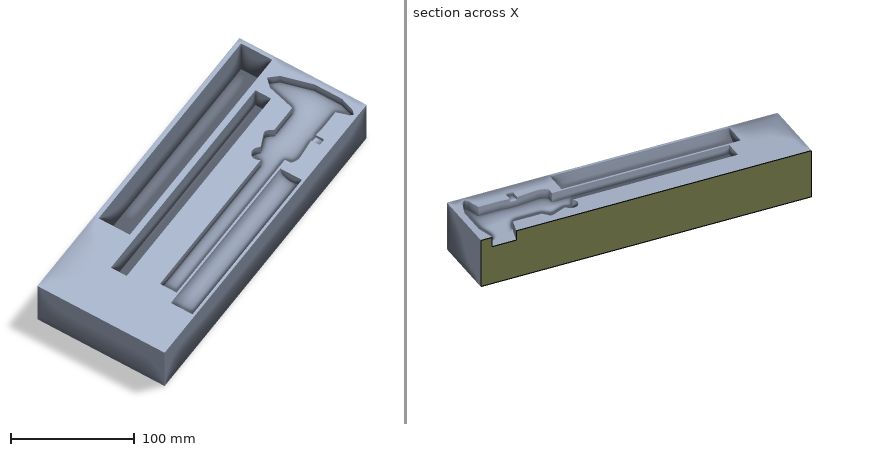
import cadquery as cq

WIDTH = 122.8
LENGTH = 298
HEIGHT = 45.0

WIDE_POCKET_X = 4.2
WIDE_POCKET_Y = 84.0
WIDE_POCKET_WIDTH = 30.0
WIDE_POCKET_LENGTH = 210.0
WIDE_POCKET_DEPTH = 35.0

NARROW_POCKET_X = 39.5
NARROW_POCKET_Y = 48.0
NARROW_POCKET_WIDTH = 15.2
NARROW_POCKET_LENGTH = 213.0
NARROW_POCKET_DEPTH = 20.0

TROUGH_CENTER_X = 110.0
TROUGH_Y = 44.7
TROUGH_LENGTH = 161.5
TROUGH_RADIUS = 10.5

CALIPER_DEPTH = 9
BEAM_LEFT = 81.5
BEAM_RIGHT = 97.7
BEAM_END_Y = 56.0
SLIDER_LEFT = 74.2
SLIDER_RIGHT = 105.8
SLIDER_BASE_Y = 215.7
JAW_TOP_Y = 292

NOTCH_DEPTH = 3
NOTCH_Y = 243.5
NOTCH_WIDTH = 6.5
NOTCH_RIGHT = 113.2
NOTCH_CORNER_RADIUS = 1.5


def box_pocket(x, y, width, length, depth):
    """Cutter for a box pocket whose minimum XY corner is (x, y)."""
    return cq.Workplane("XY", origin=(x, y, HEIGHT - depth)).box(width, length, depth, centered=False)


def trough():
    """Cylinder lying along Y with its axis in the top face."""
    start = (TROUGH_CENTER_X, TROUGH_Y, HEIGHT)
    return cq.Workplane("XZ", origin=start).circle(TROUGH_RADIUS).extrude(-TROUGH_LENGTH)


def caliper_recess():
    """Caliper outline, traced clockwise from the left end of the top edge."""
    return (
        cq.Workplane("XY", origin=(0, 0, HEIGHT - CALIPER_DEPTH))
        .moveTo(76.5, JAW_TOP_Y)
        .lineTo(102.8, JAW_TOP_Y)
        .lineTo(116.2, 287.2)
        .lineTo(119.5, 284.0)
        .lineTo(117.0, 281.5)
        .lineTo(SLIDER_RIGHT, 278.0)
        .lineTo(SLIDER_RIGHT, 257.5)
        .threePointArc((105.0, 246.5), (SLIDER_RIGHT, 235.5))
        .lineTo(106.7, 224.5)
        .threePointArc((105.8, 219.3), (103.5, SLIDER_BASE_Y))
        .lineTo(BEAM_RIGHT, SLIDER_BASE_Y)
        .lineTo(BEAM_RIGHT, BEAM_END_Y)
        .lineTo(BEAM_LEFT, BEAM_END_Y)
        .lineTo(BEAM_LEFT, 205.0)
        .threePointArc((72.0, 205.3), (73.0, 214.2))
        .lineTo(SLIDER_LEFT, 216.0)
        .lineTo(68.8, 228.5)
        .threePointArc((68.8, 231.2), (70.5, 233.3))
        .lineTo(SLIDER_LEFT, 236.3)
        .lineTo(SLIDER_LEFT, 262.5)
        .lineTo(48.0, 269.5)
        .lineTo(40.5, 276.8)
        .lineTo(48.3, 284.0)
        .close()
        .extrude(CALIPER_DEPTH)
    )


def lock_screw_notch():
    """Shallow notch with a rounded outer end, overlapping the caliper recess."""
    inner_x = BEAM_RIGHT
    notch = box_pocket(inner_x, NOTCH_Y, NOTCH_RIGHT - inner_x, NOTCH_WIDTH, NOTCH_DEPTH)
    return notch.edges("|Z and >X").fillet(NOTCH_CORNER_RADIUS)


result = (
    cq.Workplane("XY")
    .box(WIDTH, LENGTH, HEIGHT, centered=False)
    .cut(box_pocket(WIDE_POCKET_X, WIDE_POCKET_Y, WIDE_POCKET_WIDTH, WIDE_POCKET_LENGTH, WIDE_POCKET_DEPTH))
    .cut(
        box_pocket(
            NARROW_POCKET_X, NARROW_POCKET_Y, NARROW_POCKET_WIDTH, NARROW_POCKET_LENGTH, NARROW_POCKET_DEPTH
        )
    )
    .cut(trough())
    .cut(caliper_recess())
    .cut(lock_screw_notch())
)